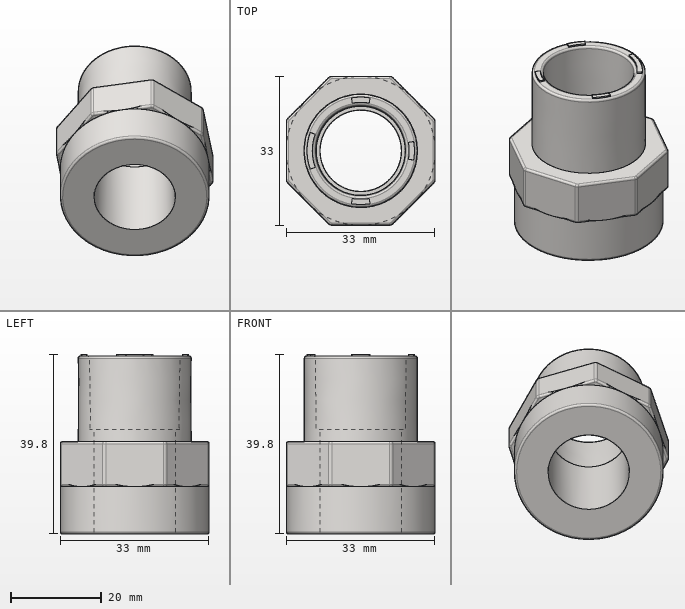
import cadquery as cq
import math

total_height = 39.8
marking_height = 0.3
rim_z = total_height - marking_height
collar_height = 10.5
shoulder_z = 20.5

body_width = 33.0
edge_round = 0.5
octagon_corner_round = 1.0
octagon_sides = 8

spigot_base_radius = 12.58
spigot_rim_radius = 12.55

bore_rim_radius = 10.05
bore_floor_radius = 9.87
bore_depth = 16.3
through_diameter = 18.0

pad_inner_radius = 10.75
pad_outer_radius = 11.9
short_pad_angle = 20.0
long_pad_angle = 40.0
pad_sink = 0.2


def make_collar():
    """Round collar with a rounded lower edge."""
    collar = cq.Workplane("XY").circle(body_width / 2).extrude(collar_height)
    return collar.faces("<Z").edges().fillet(edge_round)


def make_octagon(height):
    """Sharp-edged octagonal prism standing on the collar, with flats square to X and Y."""
    corner_diameter = body_width / math.cos(math.pi / octagon_sides)
    half_step = 180 / octagon_sides
    return (
        cq.Workplane("XY", origin=(0, 0, collar_height))
        .polygon(octagon_sides, corner_diameter)
        .extrude(height)
        .rotate((0, 0, 0), (0, 0, 1), half_step)
    )


def make_wrench_section():
    """Octagon with rounded edges; its lower rounding fades out where the flats meet the collar."""
    rounded = make_octagon(shoulder_z - collar_height)
    rounded = rounded.edges("|Z").fillet(octagon_corner_round)
    rounded = rounded.faces("<Z or >Z").edges().fillet(edge_round)
    flare = (
        cq.Workplane("XY", origin=(0, 0, collar_height))
        .circle(body_width / 2)
        .workplane(offset=edge_round)
        .circle(body_width / 2 + edge_round)
        .loft()
    )
    fade = make_octagon(edge_round).edges("|Z").fillet(octagon_corner_round).intersect(flare)
    return rounded.union(fade)


def make_spigot():
    """Tapered tube with rounded rim edges; its bore narrows to the through hole at the ledge."""
    floor_z = rim_z - bore_depth
    through_radius = through_diameter / 2
    profile = (
        cq.Workplane("XZ")
        .moveTo(through_radius, 0)
        .lineTo(spigot_base_radius, 0)
        .lineTo(spigot_base_radius, shoulder_z)
        .lineTo(spigot_rim_radius, rim_z)
        .lineTo(bore_rim_radius, rim_z)
        .lineTo(bore_floor_radius, floor_z)
        .lineTo(through_radius, floor_z)
        .close()
    )
    spigot = profile.revolve(360, (0, 0, 0), (0, 1, 0))
    return spigot.faces(">Z").edges().fillet(edge_round)


def make_pad(middle_angle, span):
    """Raised pad shaped as a ring sector, centred on the given direction."""
    def point(radius, angle):
        turn = math.radians(angle)
        return radius * math.cos(turn), radius * math.sin(turn)

    start = middle_angle - span / 2
    end = middle_angle + span / 2
    return (
        cq.Workplane("XY", origin=(0, 0, rim_z - pad_sink))
        .moveTo(*point(pad_inner_radius, start))
        .lineTo(*point(pad_outer_radius, start))
        .threePointArc(point(pad_outer_radius, middle_angle), point(pad_outer_radius, end))
        .lineTo(*point(pad_inner_radius, end))
        .threePointArc(point(pad_inner_radius, middle_angle), point(pad_inner_radius, start))
        .close()
        .extrude(marking_height + pad_sink)
    )


through_hole = cq.Workplane("XY").circle(through_diameter / 2).extrude(total_height)
result = make_collar().union(make_wrench_section()).cut(through_hole).union(make_spigot())

pads = [(0, short_pad_angle), (90, short_pad_angle), (180, long_pad_angle), (270, short_pad_angle)]
for direction, span in pads:
    result = result.union(make_pad(direction, span))